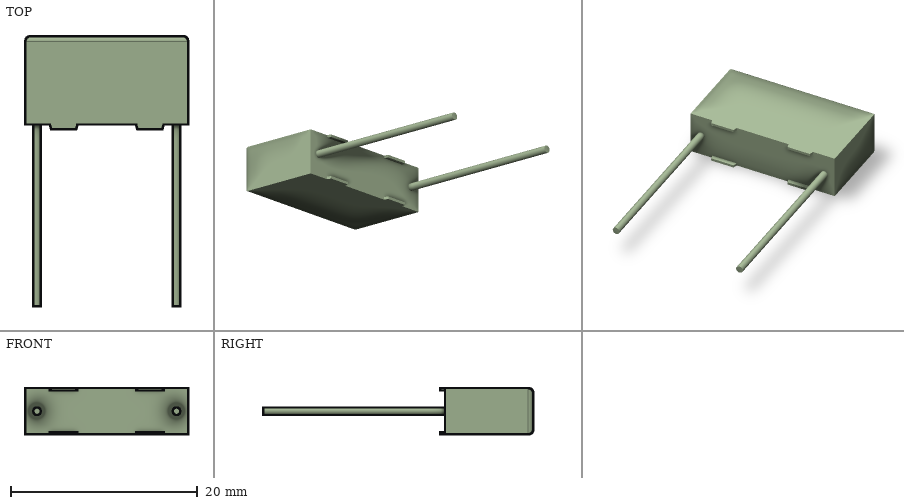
import cadquery as cq

CASE_WIDTH = 17.5
CASE_HEIGHT = 5.0
OVERALL_LENGTH = 29.0
CASE_LENGTH = 9.5
BACK_FILLET = 0.58

TAB_SPACING = 9.25
TAB_ROOT_WIDTH = 3.0
TAB_TIP_WIDTH = 2.7
TAB_LENGTH = 0.5
TAB_THICKNESS = 0.3

LEAD_SPACING = 14.95
LEAD_DIAMETER = 0.8

LEAD_LENGTH = OVERALL_LENGTH - CASE_LENGTH


def make_tab(center_x, bottom_z):
    """Tapered standoff tab that projects from the front face toward -Y."""
    half_root = TAB_ROOT_WIDTH / 2
    half_tip = TAB_TIP_WIDTH / 2
    return (
        cq.Workplane("XY", origin=(center_x, 0, bottom_z))
        .moveTo(-half_root, 0)
        .lineTo(-half_tip, -TAB_LENGTH)
        .lineTo(half_tip, -TAB_LENGTH)
        .lineTo(half_root, 0)
        .close()
        .extrude(TAB_THICKNESS)
    )


def make_case():
    """Block with a rounded back face and four tabs flush with its top and bottom."""
    case = (
        cq.Workplane("XY")
        .box(CASE_WIDTH, CASE_LENGTH, CASE_HEIGHT, centered=(True, False, True))
        .faces(">Y")
        .edges()
        .fillet(BACK_FILLET)
    )
    lower_tab_z = -CASE_HEIGHT / 2
    upper_tab_z = CASE_HEIGHT / 2 - TAB_THICKNESS
    for center_x in (-TAB_SPACING / 2, TAB_SPACING / 2):
        for bottom_z in (lower_tab_z, upper_tab_z):
            case = case.union(make_tab(center_x, bottom_z))
    return case


def make_lead(center_x):
    """Straight round lead that starts on the case front face and runs toward -Y."""
    return (
        cq.Workplane("XZ", origin=(center_x, 0, 0))
        .circle(LEAD_DIAMETER / 2)
        .extrude(LEAD_LENGTH)
    )


case = make_case()

leads = []
for lead_x in (-LEAD_SPACING / 2, LEAD_SPACING / 2):
    leads.append(make_lead(lead_x).val())

result = cq.Compound.makeCompound([case.val(), *leads])